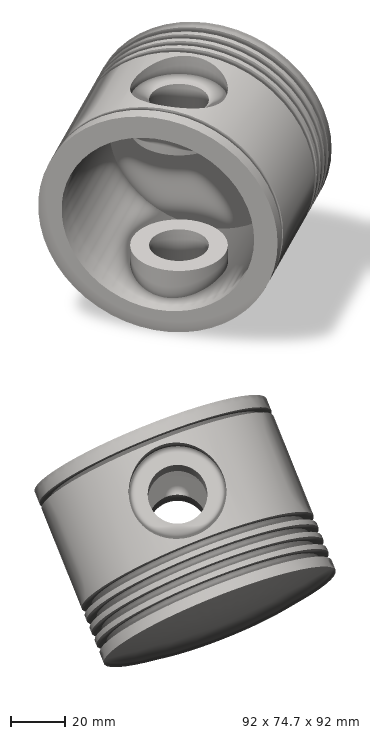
import cadquery as cq

outer_diameter = 92.0
outer_radius = outer_diameter / 2
total_length = 74.7
dome_height = 5.7
crown_edge = total_length - dome_height

bore_diameter = 74.0
bore_depth = 60.0

groove_depth = 4.0
groove_radius = outer_radius - groove_depth
ring_groove_width = 3.0
ring_groove_pitch = 5.0
ring_groove_count = 4
first_ring_groove = 47.0
oil_groove_start = 5.0
oil_groove_width = 2.0

pin_position = 27.0
pin_hole_diameter = 22.0
boss_diameter = 36.0
boss_inner_height = 25.0
recess_floor_height = 38.0


def cylinder_along_y(diameter, start, length):
    """Cylinder on the piston axis, growing toward the crown."""
    plane = cq.Plane(origin=(0, start, 0), xDir=(1, 0, 0), normal=(0, 1, 0))
    return cq.Workplane(plane).circle(diameter / 2).extrude(length)


def pin_cylinder(diameter, bottom, top):
    """Cylinder on the wrist pin axis between two Z heights."""
    return (
        cq.Workplane("XY", origin=(0, pin_position, bottom))
        .circle(diameter / 2)
        .extrude(top - bottom)
    )


def domed_blank():
    """Solid of revolution with a spherical crown."""
    sphere_radius = (outer_radius**2 + dome_height**2) / (2 * dome_height)
    return (
        cq.Workplane("XY")
        .lineTo(outer_radius, 0)
        .lineTo(outer_radius, crown_edge)
        .radiusArc((0, total_length), -sphere_radius)
        .close()
        .revolve(360, (0, 0, 0), (0, 1, 0))
    )


def groove(start, width):
    """Ring of material removed to form one groove."""
    ring = cylinder_along_y(outer_diameter, start, width)
    return ring.cut(cylinder_along_y(2 * groove_radius, start, width))


envelope = domed_blank()
piston = envelope.cut(cylinder_along_y(bore_diameter, 0, bore_depth))

for side in (1, -1):
    inner, outer = sorted((side * boss_inner_height, side * outer_radius))
    boss = pin_cylinder(boss_diameter, inner, outer)
    piston = piston.union(boss.intersect(envelope))
    inner, outer = sorted((side * recess_floor_height, side * outer_radius))
    piston = piston.cut(pin_cylinder(boss_diameter, inner, outer))

piston = piston.cut(pin_cylinder(pin_hole_diameter, -outer_radius, outer_radius))

for index in range(ring_groove_count):
    piston = piston.cut(groove(first_ring_groove + index * ring_groove_pitch, ring_groove_width))
piston = piston.cut(groove(oil_groove_start, oil_groove_width))

result = piston